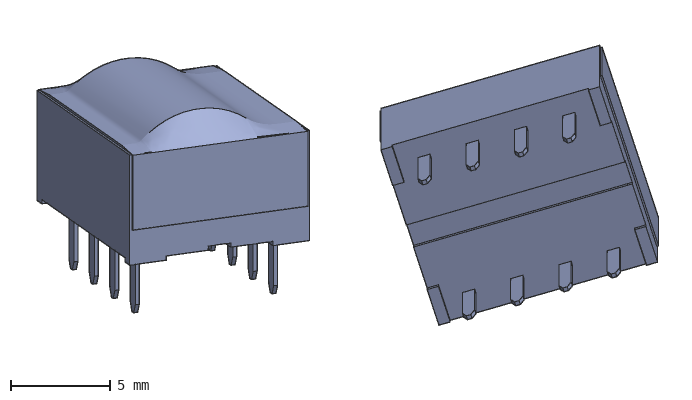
import cadquery as cq
import math

length = 11.72
depth = 9.9
dome_top = 7.34
pin_tip = -3.2

body_length = 11.53
body_height = 5.84
foot_height = 0.22
foot_length = 0.6
foot_depth = 2.02
groove_width = 1.24
groove_top = 2 * foot_height

cover_depth = 9.63
cover_bottom = 1.86
flat_top = 5.95
crown_length = 8.98
dome_radius = 4.51
dome_y = -0.6
rear_fillet_start = 3.72
front_fillet_start = -4.08
end_flare = 0.07

pins_per_row = 4
pin_pitch = 2.54
pin_row_spacing = 7.62
pin_width = 0.65
pin_thickness = 0.22
pin_tip_width = 0.23
pin_taper = 0.49

wall_thickness = (length - body_length) / 2
dome_z = dome_top - dome_radius


def make_body():
    block = cq.Workplane("XY").box(body_length, depth, body_height, centered=(True, True, False))
    gap_x = body_length - 2 * foot_length
    gap_y = depth - 2 * foot_depth
    front_to_back = cq.Workplane("XY").box(gap_x, depth, foot_height, centered=(True, True, False))
    end_to_end = cq.Workplane("XY").box(body_length, gap_y, foot_height, centered=(True, True, False))
    groove = cq.Workplane("XY").box(body_length, groove_width, groove_top, centered=(True, True, False))
    return block.cut(front_to_back).cut(end_to_end).cut(groove)


def fillet_points(start_y):
    """Start, middle and end (Y, Z) of the arc tangent to both a shelf and the dome."""
    run = start_y - dome_y
    rise = flat_top - dome_z
    radius = (run**2 + rise**2 - dome_radius**2) / (2 * (dome_radius - rise))
    center_z = flat_top + radius
    end_angle = math.atan2(dome_z - center_z, -run)
    middle_angle = (end_angle - math.pi / 2) / 2
    points = [(start_y, flat_top)]
    for angle in (middle_angle, end_angle):
        points.append((start_y + radius * math.cos(angle), center_z + radius * math.sin(angle)))
    return points


rear_start, rear_middle, rear_end = fillet_points(rear_fillet_start)
front_start, front_middle, front_end = fillet_points(front_fillet_start)

fillet_edges_at_end = (
    front_start[0] - end_flare,
    front_end[0] - end_flare,
    rear_end[0] + end_flare,
    rear_start[0] + end_flare,
)


def domed_section(x):
    half = cover_depth / 2
    return (
        cq.Workplane("YZ", origin=(x, 0, 0))
        .moveTo(-half, cover_bottom)
        .lineTo(-half, flat_top)
        .lineTo(*front_start)
        .threePointArc(front_middle, front_end)
        .threePointArc((dome_y, dome_top), rear_end)
        .threePointArc(rear_middle, rear_start)
        .lineTo(half, flat_top)
        .lineTo(half, cover_bottom)
        .close()
    )


def flat_section(x):
    """Rectangle level with the body top, split along its top edge like the domed section."""
    half = cover_depth / 2
    section = cq.Workplane("YZ", origin=(x, 0, 0)).moveTo(-half, cover_bottom).lineTo(-half, body_height)
    for y in fillet_edges_at_end:
        section = section.lineTo(y, body_height)
    return section.lineTo(half, body_height).lineTo(half, cover_bottom).close()


def make_cover():
    cover = domed_section(-crown_length / 2).extrude(crown_length)
    for side in (-1, 1):
        inner = domed_section(side * crown_length / 2).wire().val()
        outer = flat_section(side * length / 2).wire().val()
        cover = cover.union(cq.Workplane(cq.Solid.makeLoft([inner, outer], True)))
    front_outer, front_inner, rear_inner, rear_outer = fillet_edges_at_end
    for side in (-1, 1):
        wall_x = side * (length + body_length) / 4
        for near_y, far_y in ((front_outer, front_inner), (rear_inner, rear_outer)):
            relief = cq.Workplane("XY", origin=(wall_x, (near_y + far_y) / 2, body_height)).box(
                wall_thickness, far_y - near_y, dome_top - body_height, centered=(True, True, False)
            )
            cover = cover.cut(relief)
    return cover


def make_pin(x, y):
    taper_start = pin_tip + pin_taper
    return (
        cq.Workplane("XZ", origin=(x, y + pin_thickness / 2, 0))
        .polyline([
            (-pin_width / 2, groove_top),
            (-pin_width / 2, taper_start),
            (-pin_tip_width / 2, pin_tip),
            (pin_tip_width / 2, pin_tip),
            (pin_width / 2, taper_start),
            (pin_width / 2, groove_top),
        ])
        .close()
        .extrude(pin_thickness)
    )


result = make_body().union(make_cover())
for column in range(pins_per_row):
    pin_x = (column - (pins_per_row - 1) / 2) * pin_pitch
    for pin_y in (-pin_row_spacing / 2, pin_row_spacing / 2):
        result = result.union(make_pin(pin_x, pin_y))